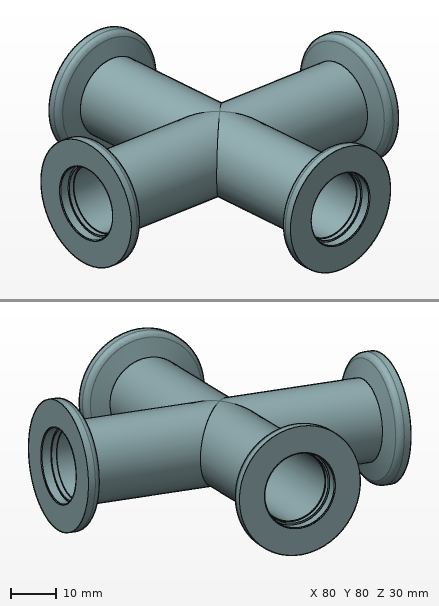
import cadquery as cq
import math

SPAN = 80.0
FLANGE_DIAMETER = 30.0
TUBE_DIAMETER = 19.0
TUBE_BORE = 16.0
MOUTH_BORE = 17.2
LIP_BORE = 16.4
FLANGE_ANGLES = (0, 90, 180, 270)

FLANGE_LENGTH = 4.4
CONE_ANGLE = 15.0
RIM_FILLET = 1.6
SELECT_MARGIN = 0.1

MOUTH_CHAMFER = 0.2
MOUTH_DEPTH = 2.4
SOCKET_DEPTH = 3.6

flange_radius = FLANGE_DIAMETER / 2
tube_radius = TUBE_DIAMETER / 2
mouth_radius = MOUTH_BORE / 2
lip_radius = LIP_BORE / 2
tube_span = SPAN - 2 * SOCKET_DEPTH


def crossed_cylinders(diameter):
    """Two equal cylinders through the centre, along X and along Y."""
    along_x = cq.Workplane("YZ").circle(diameter / 2).extrude(tube_span / 2, both=True)
    along_y = along_x.rotate((0, 0, 0), (0, 0, 1), 90)
    return along_x.union(along_y)


def make_cross_tube():
    return crossed_cylinders(TUBE_DIAMETER).cut(crossed_cylinders(TUBE_BORE))


def make_flange():
    """Flange on the -X end, revolved about the X axis, with a socket for the tube in its back."""
    face_x = -SPAN / 2
    back_x = face_x + FLANGE_LENGTH
    lip_x = face_x + MOUTH_DEPTH
    socket_floor_x = face_x + SOCKET_DEPTH
    cone_length = (flange_radius - tube_radius) * math.tan(math.radians(CONE_ANGLE))
    rim_back_x = back_x - cone_length
    flange = (
        cq.Workplane("XY")
        .moveTo(face_x, mouth_radius + MOUTH_CHAMFER)
        .lineTo(face_x, flange_radius)
        .lineTo(rim_back_x, flange_radius)
        .lineTo(back_x, tube_radius)
        .lineTo(socket_floor_x, tube_radius)
        .lineTo(socket_floor_x, lip_radius)
        .lineTo(lip_x, lip_radius)
        .lineTo(lip_x, mouth_radius)
        .lineTo(face_x + MOUTH_CHAMFER, mouth_radius)
        .close()
        .revolve(360, (0, 0, 0), (1, 0, 0))
    )
    rim_edge = cq.selectors.BoxSelector(
        (rim_back_x - SELECT_MARGIN, -SPAN, -SPAN),
        (rim_back_x + SELECT_MARGIN, SPAN, SPAN),
    )
    return flange.edges(rim_edge).fillet(RIM_FILLET)


cross_tube = make_cross_tube()
flange = make_flange()
flanges = [flange.rotate((0, 0, 0), (0, 0, 1), angle) for angle in FLANGE_ANGLES]

result = cq.Compound.makeCompound([cross_tube.val(), *[copy.val() for copy in flanges]])